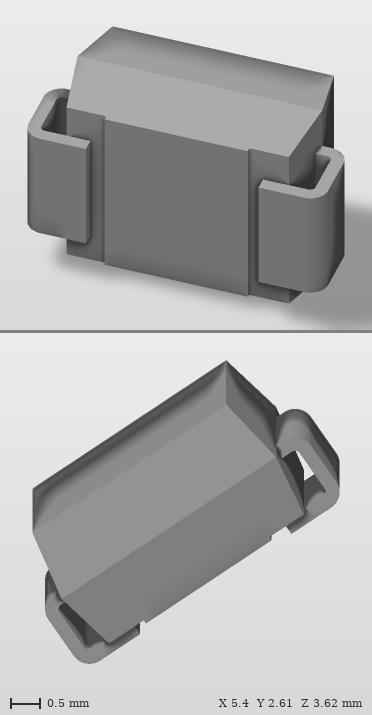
import cadquery as cq
import math

overall_length = 5.4
body_length = 4.405
body_height = 3.62
back_depth = 1.195
mounting_depth = 1.205
draft_angle = 10.0

step_depth = 0.07
raised_face_length = 2.58

lead_width = 2.07
lead_thickness = 0.23
lead_depth = 1.415
lead_outer_radius = 0.325
foot_length = 1.145

lead_inner_radius = lead_outer_radius - lead_thickness
draft_slope = math.tan(math.radians(draft_angle))


def tapered_half(direction, depth):
    """Half of the body, narrowing from the parting plane along +Y (1) or -Y (-1)."""
    plane = cq.Plane(origin=(0, 0, 0), xDir=(1, 0, 0), normal=(0, direction, 0))
    return (
        cq.Workplane(plane)
        .rect(body_length, body_height)
        .extrude(depth, taper=draft_angle)
    )


def make_body():
    """Molded body: two tapered halves with a step at each end of the mounting face."""
    body = tapered_half(1, back_depth).union(tapered_half(-1, mounting_depth))
    step_length = (body_length - raised_face_length) / 2
    step_center_x = (raised_face_length + step_length) / 2
    step_center_y = -mounting_depth + step_depth / 2
    for side in (-1, 1):
        step = cq.Workplane("XY").box(step_length, step_depth, body_height)
        body = body.cut(step.translate((side * step_center_x, step_center_y, 0)))
    return body


def make_lead():
    """C-shaped lead at the -X end, from the sloping end face round to its foot."""
    outer_x = -overall_length / 2
    inner_x = outer_x + lead_thickness
    foot_end_x = outer_x + foot_length
    foot_top_y = -lead_depth + lead_thickness
    body_end_x = -body_length / 2
    body_end_below_x = body_end_x + lead_thickness * draft_slope
    return (
        cq.Workplane("XY")
        .moveTo(body_end_x, 0)
        .lineTo(outer_x + lead_outer_radius, 0)
        .radiusArc((outer_x, -lead_outer_radius), -lead_outer_radius)
        .lineTo(outer_x, -lead_depth + lead_outer_radius)
        .radiusArc((outer_x + lead_outer_radius, -lead_depth), -lead_outer_radius)
        .lineTo(foot_end_x, -lead_depth)
        .lineTo(foot_end_x, foot_top_y)
        .lineTo(inner_x + lead_inner_radius, foot_top_y)
        .radiusArc((inner_x, foot_top_y + lead_inner_radius), lead_inner_radius)
        .lineTo(inner_x, -lead_thickness - lead_inner_radius)
        .radiusArc((inner_x + lead_inner_radius, -lead_thickness), lead_inner_radius)
        .lineTo(body_end_below_x, -lead_thickness)
        .close()
        .extrude(lead_width / 2, both=True)
    )


body = make_body()

leads = []
for mirrored in (False, True):
    lead = make_lead()
    if mirrored:
        lead = lead.mirror("YZ")
    leads.append(lead.val())

result = cq.Compound.makeCompound([body.val(), *leads])